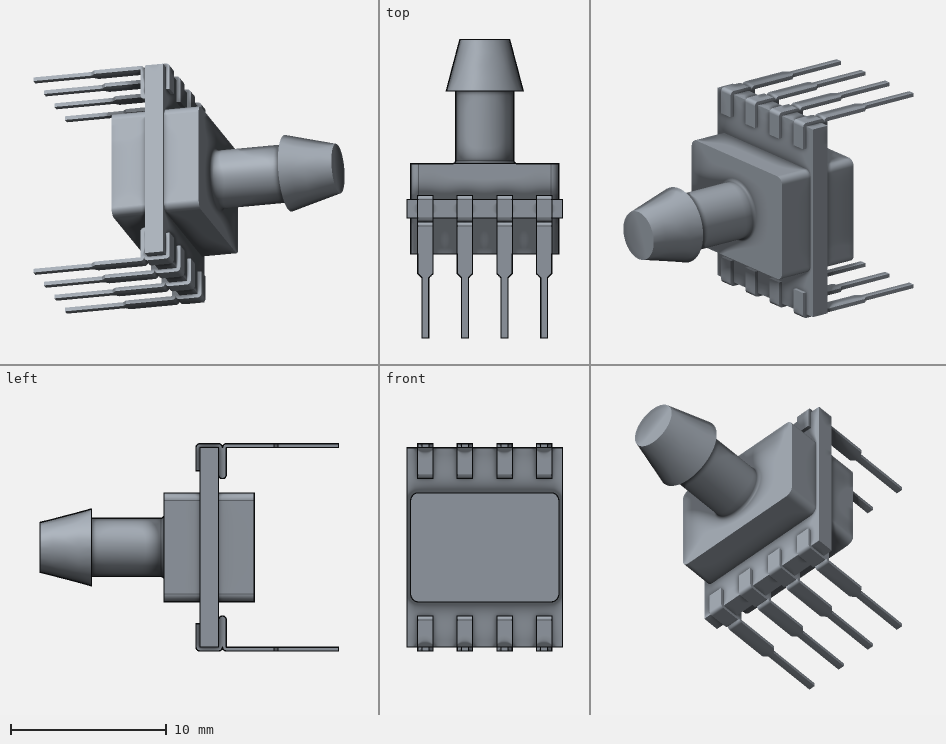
import cadquery as cq

board_width = 10.0
board_height = 12.8
board_thickness = 1.2

housing_width = 9.5
housing_height = 7.0
housing_projection = 2.3
housing_corner_radius = 0.5
housing_back = board_thickness + housing_projection

neck_diameter = 3.75
neck_length = 4.64
neck_root_fillet = 0.2
barb_base_diameter = 4.95
barb_tip_diameter = 3.2
barb_length = 3.32

lead_count = 4
lead_pitch = 2.54
strip_thickness = 0.25
lead_width = 1.0
pin_width = 0.46
bend_radius = strip_thickness
fold_thickness = 2 * strip_thickness
fold_depth = 2.25
back_leg_depth = 1.75
shoulder_distance = 3.55
shoulder_taper = (lead_width - pin_width) / 2
pin_reach = 7.7


def make_board():
    return cq.Workplane("XY").box(
        board_width, board_thickness, board_height, centered=(True, False, True)
    )


def make_housing():
    depth = board_thickness + 2 * housing_projection
    block = cq.Workplane("XY").box(housing_width, depth, housing_height)
    return block.edges("|Y").fillet(housing_corner_radius).translate((0, board_thickness / 2, 0))


def make_port():
    """Solid of revolution about Y: filleted root, neck and tapered barb."""
    neck_radius = neck_diameter / 2
    barb_start = housing_back + neck_length
    barb_end = barb_start + barb_length
    return (
        cq.Workplane("XY")
        .moveTo(0, housing_back)
        .lineTo(neck_radius + neck_root_fillet, housing_back)
        .radiusArc((neck_radius, housing_back + neck_root_fillet), neck_root_fillet)
        .lineTo(neck_radius, barb_start)
        .lineTo(barb_base_diameter / 2, barb_start)
        .lineTo(barb_tip_diameter / 2, barb_end)
        .lineTo(0, barb_end)
        .close()
        .revolve(360, (0, 0, 0), (0, 1, 0))
    )


def make_lead():
    """Upper lead centred on X = 0: back leg, bridge over the board, front fold and pin."""
    edge = board_height / 2
    top = edge + strip_thickness
    back = board_thickness + strip_thickness
    fold_bottom = top - fold_depth

    bent_strip = (
        cq.Workplane("YZ")
        .moveTo(board_thickness, edge)
        .lineTo(board_thickness, top - back_leg_depth)
        .lineTo(back, top - back_leg_depth)
        .lineTo(back, top - bend_radius)
        .radiusArc((back - bend_radius, top), -bend_radius)
        .lineTo(0, top)
        .radiusArc((-strip_thickness, top - bend_radius), -bend_radius)
        .radiusArc((-fold_thickness, top), -bend_radius)
        .lineTo(-pin_reach, top)
        .lineTo(-pin_reach, edge)
        .lineTo(-fold_thickness, edge)
        .lineTo(-fold_thickness, fold_bottom + bend_radius)
        .radiusArc((-fold_thickness + bend_radius, fold_bottom), -bend_radius)
        .radiusArc((0, fold_bottom + bend_radius), -bend_radius)
        .lineTo(0, edge)
        .close()
        .extrude(lead_width / 2, both=True)
    )

    half_lead = lead_width / 2
    half_pin = pin_width / 2
    taper_end = shoulder_distance + shoulder_taper
    plan_outline = (
        cq.Workplane("XY")
        .workplane(offset=fold_bottom)
        .polyline([
            (-half_lead, back),
            (half_lead, back),
            (half_lead, -shoulder_distance),
            (half_pin, -taper_end),
            (half_pin, -pin_reach),
            (-half_pin, -pin_reach),
            (-half_pin, -taper_end),
            (-half_lead, -shoulder_distance),
        ])
        .close()
        .extrude(fold_depth)
    )
    return bent_strip.intersect(plan_outline)


result = make_board().union(make_housing()).union(make_port())

upper_lead = make_lead()
lower_lead = upper_lead.mirror("XY")
for index in range(lead_count):
    lead_x = (index - (lead_count - 1) / 2) * lead_pitch
    for lead in (upper_lead, lower_lead):
        result = result.union(lead.translate((lead_x, 0, 0)))